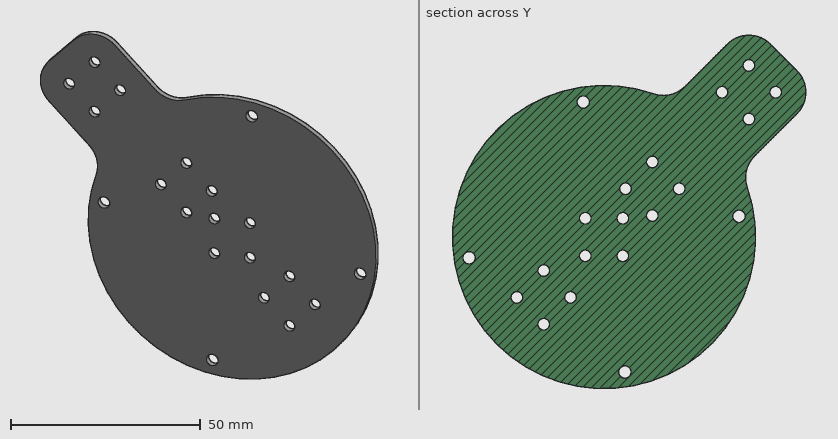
import cadquery as cq
import math

THICKNESS = 2.0
DISC_RADIUS = 40.0

DIAGONAL_ANGLE = 135.0

PATTERN_SIDE = 10.0
SIDE_TO_CORNER_ANGLE = 45.0
SMALL_HOLE_DIAMETER = 3.0
TAB_PATTERN_DISTANCE = 54.0
INNER_PATTERN_DISTANCE = 18.0
OUTER_PATTERN_DISTANCE = -22.5
PATTERN_DISTANCES = (TAB_PATTERN_DISTANCE, INNER_PATTERN_DISTANCE, OUTER_PATTERN_DISTANCE)

HOLES_PER_CIRCLE = 4
CENTER_CIRCLE_RADIUS = 7.0
CENTER_START_ANGLE = 45.0
RIM_CIRCLE_RADIUS = 36.0
RIM_START_ANGLE = 81.25
RIM_HOLE_DIAMETER = 3.2

TAB_CORNER_RADIUS = 8.0
TAB_HALF_WIDTH = PATTERN_SIDE / 2 + TAB_CORNER_RADIUS
TAB_END = TAB_PATTERN_DISTANCE + TAB_HALF_WIDTH
NECK_FILLET_RADIUS = 8.0


def polar_point(radius, angle):
    """Point at a radius and an angle in degrees."""
    return (radius * math.cos(math.radians(angle)), radius * math.sin(math.radians(angle)))


def plate_outline():
    """Closed outline with the tab pointing along local +X."""
    fillet_center_y = TAB_HALF_WIDTH + NECK_FILLET_RADIUS
    fillet_center_distance = DISC_RADIUS + NECK_FILLET_RADIUS
    fillet_angle = math.degrees(math.asin(fillet_center_y / fillet_center_distance))
    fillet_center_x, _ = polar_point(fillet_center_distance, fillet_angle)
    disc_x, disc_y = polar_point(DISC_RADIUS, fillet_angle)
    corner_x = TAB_END - TAB_CORNER_RADIUS
    corner_y = TAB_HALF_WIDTH - TAB_CORNER_RADIUS

    return (
        cq.Workplane("XZ")
        .moveTo(disc_x, disc_y)
        .threePointArc((-DISC_RADIUS, 0), (disc_x, -disc_y))
        .radiusArc((fillet_center_x, -TAB_HALF_WIDTH), NECK_FILLET_RADIUS)
        .lineTo(corner_x, -TAB_HALF_WIDTH)
        .radiusArc((TAB_END, -corner_y), -TAB_CORNER_RADIUS)
        .lineTo(TAB_END, corner_y)
        .radiusArc((corner_x, TAB_HALF_WIDTH), -TAB_CORNER_RADIUS)
        .lineTo(fillet_center_x, TAB_HALF_WIDTH)
        .radiusArc((disc_x, disc_y), NECK_FILLET_RADIUS)
        .close()
    )


def make_plate():
    """Solid plate from Y = 0 to Y = THICKNESS, turned so the tab lies on the diagonal."""
    plate = plate_outline().extrude(-THICKNESS)
    return plate.rotate((0, 0, 0), (0, -1, 0), DIAGONAL_ANGLE)


def circle_points(radius, start_angle):
    """Evenly spaced hole centres on a circle about the disc centre."""
    step = 360.0 / HOLES_PER_CIRCLE
    return [polar_point(radius, start_angle + i * step) for i in range(HOLES_PER_CIRCLE)]


def pattern_points(distance):
    """Corners of a square centred on the diagonal at the given distance."""
    center_x, center_z = polar_point(distance, DIAGONAL_ANGLE)
    corner_distance = PATTERN_SIDE / math.sqrt(2)
    offsets = circle_points(corner_distance, DIAGONAL_ANGLE + SIDE_TO_CORNER_ANGLE)
    return [(center_x + dx, center_z + dz) for dx, dz in offsets]


def through_holes(points, diameter):
    """Cylinders that cut holes through the plate thickness."""
    return cq.Workplane("XZ").pushPoints(points).circle(diameter / 2).extrude(-THICKNESS)


result = make_plate()
for pattern_distance in PATTERN_DISTANCES:
    result = result.cut(through_holes(pattern_points(pattern_distance), SMALL_HOLE_DIAMETER))

center_points = circle_points(CENTER_CIRCLE_RADIUS, CENTER_START_ANGLE)
result = result.cut(through_holes(center_points, SMALL_HOLE_DIAMETER))

rim_points = circle_points(RIM_CIRCLE_RADIUS, RIM_START_ANGLE)
result = result.cut(through_holes(rim_points, RIM_HOLE_DIAMETER))